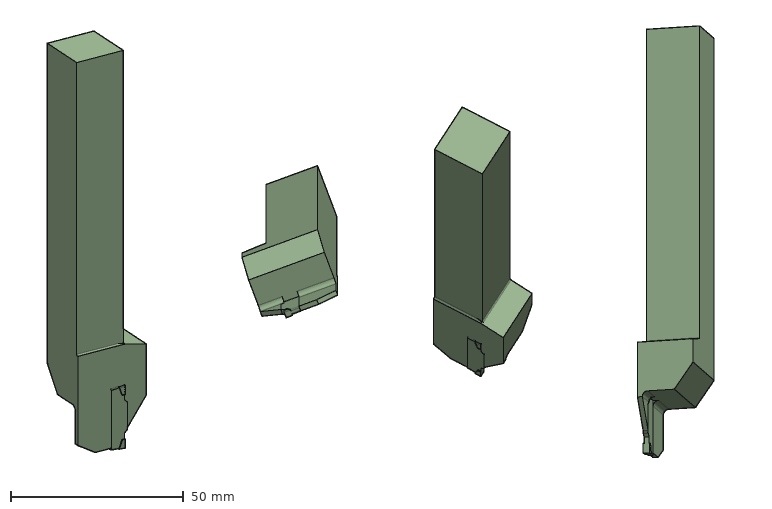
import cadquery as cq

shank_size = 16.0
tool_top = 126.35

head_side = 16.7
head_depth = 23.4
head_shoulder_z = 33.1
head_back_top_z = 31.4
head_bottom_z = 16.65
head_bevel_top_z = 24.4
head_bevel_width = 5.6
shoulder_fillet = 0.4

blade_inner_x = 15.2
blade_fillet = 1.6
blade_bottom_z = 1.05
blade_nose_y = 5.9
blade_nose_z = 4.65
jaw_tip_z = 6.35
blade_root_z = head_bottom_z - blade_fillet

insert_width = 2.03
insert_length = 20.15
insert_seat_y = 11.4
insert_edge_y = 16.0
insert_ridge_y = 17.0
insert_end_length = 4.8
insert_ramp_length = 1.0
insert_end_relief = 0.35
insert_outer_x = 17.03
insert_mid_z = insert_length / 2
insert_corner_radius = 0.35
cheek_corner_radius = 0.25
cheek_height = 3.0
cheek_top_depth = 1.0
cheek_depth = 2.0


def plate(points, x_start, x_end):
    """Extrude a closed (Y, Z) outline from x_start to x_end."""
    return cq.Workplane("YZ", origin=(x_start, 0, 0)).polyline(points).close().extrude(x_end - x_start)


def make_insert_core():
    """Insert without its wider cutting ends, as thick as the blade."""
    ramp_low_z = insert_end_length
    ridge_low_z = insert_end_length + insert_ramp_length
    lower_half = [
        (insert_seat_y, insert_end_relief),
        (insert_edge_y, 0),
        (insert_edge_y, ramp_low_z),
        (insert_ridge_y, ridge_low_z),
    ]
    upper_half = [(y, insert_length - z) for y, z in reversed(lower_half)]
    blank = plate(lower_half + upper_half, blade_inner_x, head_side)
    return blank.faces("<Z or >Z").edges("not |X").fillet(insert_corner_radius)


def make_cheek():
    """Tapering block at the lower cutting edge that widens the insert to its full width."""
    front_y = insert_edge_y - cheek_depth
    front_z = insert_end_relief * cheek_depth / (insert_edge_y - insert_seat_y)
    outline = [
        (insert_edge_y, 0),
        (insert_edge_y, cheek_height),
        (insert_edge_y - cheek_top_depth, cheek_height),
        (front_y, front_z),
    ]
    blank = plate(outline, insert_outer_x - insert_width, insert_outer_x)
    return blank.faces("<Z").edges("not |X").fillet(cheek_corner_radius)


def make_insert():
    lower_cheek = make_cheek()
    upper_cheek = lower_cheek.mirror("XY", (0, 0, insert_mid_z))
    return make_insert_core().union(lower_cheek).union(upper_cheek)


insert = make_insert()


def make_shank():
    length = tool_top - head_shoulder_z
    return cq.Workplane("XY", origin=(0, 0, head_shoulder_z)).box(
        shank_size, shank_size, length, centered=False
    )


def make_head_and_blade():
    """Overlap of the outline seen along Y and the outline seen along X."""
    front_prism = (
        cq.Workplane("XZ")
        .moveTo(0, head_shoulder_z)
        .lineTo(0, head_bevel_top_z)
        .lineTo(head_bevel_width, head_bottom_z)
        .lineTo(blade_inner_x - blade_fillet, head_bottom_z)
        .radiusArc((blade_inner_x, blade_root_z), blade_fillet)
        .lineTo(blade_inner_x, 0)
        .lineTo(head_side, 0)
        .lineTo(head_side, head_shoulder_z)
        .close()
        .extrude(-head_depth)
    )
    side_outline = [
        (0, head_shoulder_z),
        (0, blade_nose_z),
        (blade_nose_y, blade_bottom_z),
        (insert_seat_y, blade_bottom_z),
        (insert_seat_y, jaw_tip_z),
        (insert_ridge_y, jaw_tip_z),
        (head_depth, blade_root_z),
        (head_depth, head_back_top_z),
        (shank_size, head_shoulder_z),
    ]
    return front_prism.intersect(plate(side_outline, 0, head_side))


def make_root_notch():
    """Gap through the blade root fillet that clears the side of the insert."""
    notch_height = head_bottom_z - blade_root_z
    return cq.Workplane("XY", origin=(blade_inner_x - blade_fillet, insert_seat_y, blade_root_z)).box(
        blade_fillet, insert_edge_y - insert_seat_y, notch_height, centered=False
    )


def make_holder():
    body = make_shank().union(make_head_and_blade())
    y_corner = cq.selectors.NearestToPointSelector((shank_size / 2, shank_size, head_shoulder_z))
    x_corner = cq.selectors.NearestToPointSelector((shank_size, shank_size / 2, head_shoulder_z))
    body = body.edges(y_corner).fillet(shoulder_fillet)
    body = body.edges(x_corner).fillet(shoulder_fillet)
    return body.cut(make_root_notch()).cut(insert)


holder = make_holder()
result = cq.Compound.makeCompound([holder.val(), insert.val()])